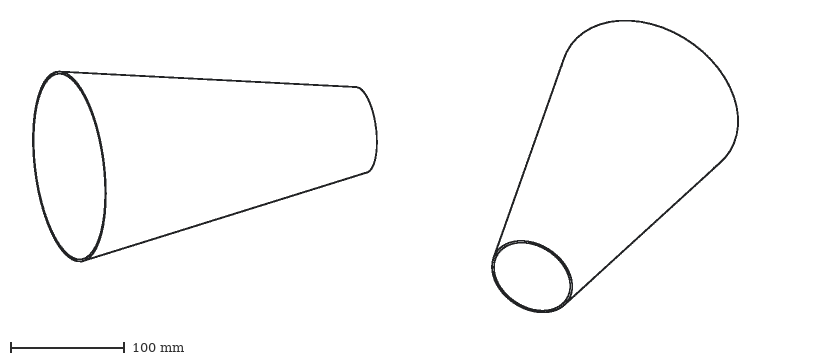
import cadquery as cq

length = 277.0
large_diameter = 168.5
small_diameter = 76.2
wall = 2.0

large_radius = large_diameter / 2
small_radius = small_diameter / 2

wall_section = [
    (large_radius - wall, 0),
    (large_radius, 0),
    (small_radius, length),
    (small_radius - wall, length),
]

result = (
    cq.Workplane("XY")
    .polyline(wall_section)
    .close()
    .revolve(360, (0, 0, 0), (0, 1, 0))
)